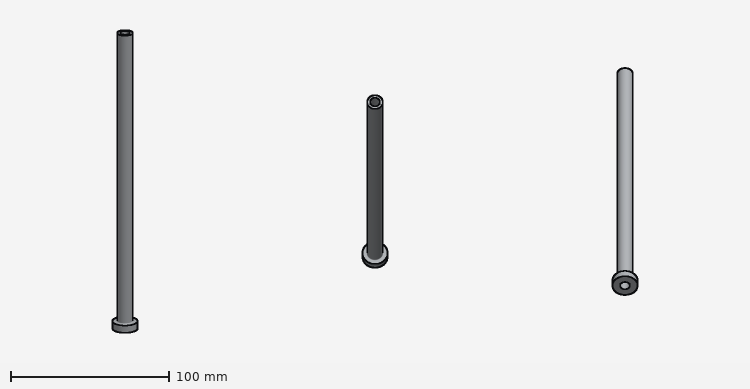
import cadquery as cq

total_length = 200.0
head_diameter = 16.0
head_height = 5.0
shank_diameter = 10.0
bore_diameter = 6.2
neck_fillet = 0.5

head = cq.Workplane("XY").circle(head_diameter / 2).extrude(head_height)

shank = cq.Workplane("XY").circle(shank_diameter / 2).extrude(total_length)

neck_edge = cq.selectors.RadiusNthSelector(0)
head_top = "<Z[-2]"
body = head.union(shank)
body = body.faces(head_top).edges(neck_edge).fillet(neck_fillet)

bore = cq.Workplane("XY").circle(bore_diameter / 2).extrude(total_length)

result = body.cut(bore)